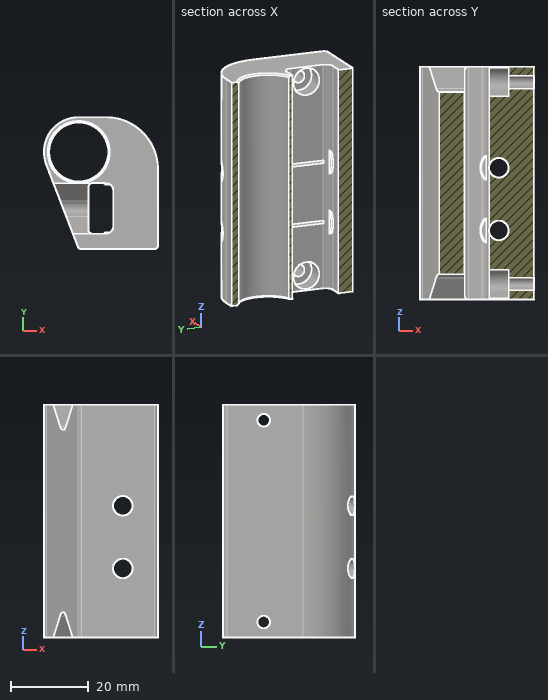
import cadquery as cq
import math

width = 29.45
depth = 34.0
height = 60.0
barrel_radius = 9.0
shoulder_radius = 13.5
edge_radius = 1.0

barrel_y = depth - barrel_radius
bore_diameter = 15.2
bore_chamfer = 0.4

pocket_left = 11.5
pocket_right = 17.9
pocket_width = 13.0
pocket_y = 10.5
pocket_left_radius = 1.0
pocket_right_radius = 2.0
pocket_front = pocket_y - pocket_width / 2
pocket_back = pocket_y + pocket_width / 2

screw_inset = 4.0
screw_diameter = 3.2
screw_head_diameter = 7.2
screw_head_depth = 5.0
notch_root_radius = 2.5

axle_x = 20.35
axle_heights = (17.8, 33.95)
axle_diameter = 5.0
pad_diameter = 9.0
pad_base_diameter = 9.6
pad_thickness = 0.4


def make_block():
    """Block whose slanted side starts in front of the barrel axis and runs tangent to the barrel."""
    slant = math.asin(barrel_radius / barrel_y)
    tangent_x = barrel_radius * (1 - math.cos(slant))
    tangent_y = barrel_y - barrel_radius * math.sin(slant)
    barrel_mid_angle = (math.pi / 2 + math.pi + slant) / 2
    barrel_mid = (
        barrel_radius + barrel_radius * math.cos(barrel_mid_angle),
        barrel_y + barrel_radius * math.sin(barrel_mid_angle),
    )
    block = (
        cq.Workplane("XY")
        .moveTo(barrel_radius, 0)
        .lineTo(width, 0)
        .lineTo(width, depth - shoulder_radius)
        .radiusArc((width - shoulder_radius, depth), -shoulder_radius)
        .lineTo(barrel_radius, depth)
        .threePointArc(barrel_mid, (tangent_x, tangent_y))
        .close()
        .extrude(height)
    )
    return block.edges("|Z").edges("<Y").fillet(edge_radius)


def make_bore():
    """Bore with its chamfer at both ends."""
    radius = bore_diameter / 2
    mouth = radius + bore_chamfer
    return (
        cq.Workplane("XZ")
        .polyline([
            (0, 0),
            (mouth, 0),
            (radius, bore_chamfer),
            (radius, height - bore_chamfer),
            (mouth, height),
            (0, height),
        ])
        .close()
        .revolve(360, (0, 0, 0), (0, 1, 0))
        .translate((barrel_radius, barrel_y, 0))
    )


def make_pocket():
    """Full-height pocket, less the pads that stand on its front and back walls."""
    pocket = (
        cq.Workplane("XY")
        .box(pocket_right - pocket_left, pocket_width, height, centered=False)
        .translate((pocket_left, pocket_front, 0))
        .edges("|Z and <X")
        .fillet(pocket_left_radius)
        .edges("|Z and >X")
        .fillet(pocket_right_radius)
    )
    for axle_z in axle_heights:
        pocket = pocket.cut(make_pad(axle_z, pocket_front, 1))
        pocket = pocket.cut(make_pad(axle_z, pocket_back, -1))
    return pocket


def make_pad(axle_z, wall_y, direction):
    """Conical pad on a pocket wall, narrowing along Y in the given direction (1 or -1)."""
    return cq.Workplane(cq.Solid.makeCone(
        pad_base_diameter / 2,
        pad_diameter / 2,
        pad_thickness,
        cq.Vector(axle_x, wall_y, axle_z),
        cq.Vector(0, direction, 0),
    ))


def make_axle_hole(axle_z):
    """Axle hole through the whole depth of the block."""
    return (
        cq.Workplane("XZ", origin=(axle_x, depth, axle_z))
        .circle(axle_diameter / 2)
        .extrude(depth)
    )


def make_screw_cut():
    """Notch, head recess and screw hole at the lower end."""
    half_width = pocket_width / 2
    pocket_middle = (pocket_left + pocket_right) / 2
    root_distance = math.hypot(half_width, screw_inset)
    flank = math.atan(screw_inset / half_width) + math.asin(notch_root_radius / root_distance)
    tangent_y = notch_root_radius * math.sin(flank)
    tangent_z = screw_inset + notch_root_radius * math.cos(flank)
    notch = (
        cq.Workplane("YZ", origin=(0, pocket_y, 0))
        .moveTo(-half_width, 0)
        .lineTo(-tangent_y, tangent_z)
        .threePointArc((0, screw_inset + notch_root_radius), (tangent_y, tangent_z))
        .lineTo(half_width, 0)
        .close()
        .extrude(pocket_middle)
    )
    head_end = pocket_right + screw_head_depth
    head = (
        cq.Workplane("YZ", origin=(pocket_middle, pocket_y, screw_inset))
        .circle(screw_head_diameter / 2)
        .extrude(head_end - pocket_middle)
    )
    screw = (
        cq.Workplane("YZ", origin=(pocket_middle, pocket_y, screw_inset))
        .circle(screw_diameter / 2)
        .extrude(width - pocket_middle)
    )
    return notch.union(head).union(screw)


lower_screw_cut = make_screw_cut()
upper_screw_cut = lower_screw_cut.mirror("XY", (0, 0, height / 2))

result = make_block().cut(make_bore()).cut(make_pocket())
result = result.cut(lower_screw_cut).cut(upper_screw_cut)
for axle_z in axle_heights:
    result = result.cut(make_axle_hole(axle_z))